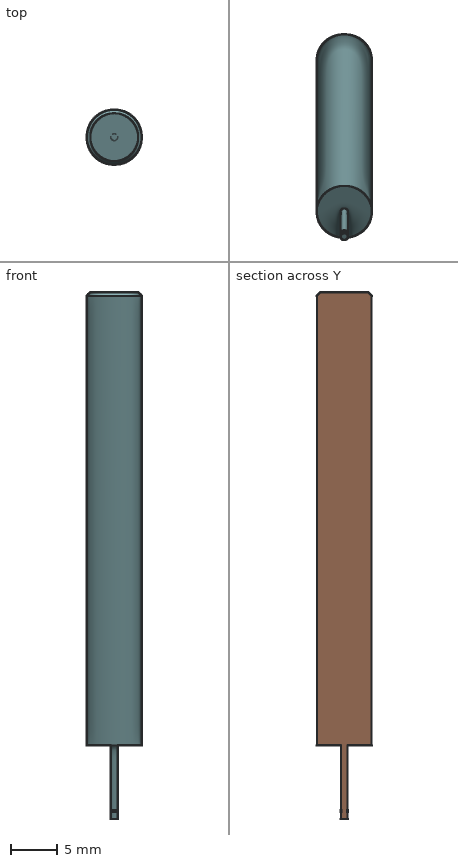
import cadquery as cq

total_length = 57.0
body_diameter = 6.0
top_chamfer = 0.4

pin_diameter = 0.8
pin_length = 8.0

groove_diameter = 0.7
groove_bottom = 0.8
groove_top = 0.95

body = (
    cq.Workplane("XY", origin=(0, 0, pin_length))
    .circle(body_diameter / 2)
    .extrude(total_length - pin_length)
    .faces(">Z")
    .chamfer(top_chamfer)
)

pin = cq.Workplane("XY").circle(pin_diameter / 2).extrude(pin_length)

groove = (
    cq.Workplane("XY", origin=(0, 0, groove_bottom))
    .circle(pin_diameter)
    .circle(groove_diameter / 2)
    .extrude(groove_top - groove_bottom)
)

result = body.union(pin.cut(groove))